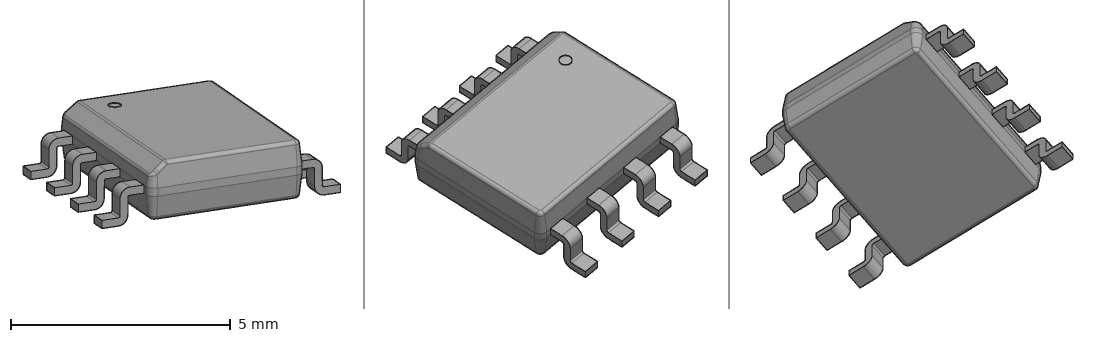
import cadquery as cq
import math

BODY_LENGTH = 4.9
BODY_WIDTH = 3.9
BODY_BOTTOM = 0.1
BODY_TOP = 1.5
CORNER_RADIUS = 0.2
DRAFT_ANGLE = 7.0
EDGE_RADIUS = 0.1

SLOPE_INSET = 0.425
SLOPE_DEPTH = 0.305

MARK_DIAMETER = 0.3
MARK_DEPTH = 0.02
MARK_X = -1.685
MARK_Y = -0.895

LEADS_PER_SIDE = 4
LEAD_PITCH = 1.27
LEAD_WIDTH = 0.425
LEAD_THICKNESS = 0.2
LEAD_TIP_Y = 3.0
LEAD_SHIN_Y = 2.545
LEAD_INNER_RADIUS = 0.05
LEAD_OUTER_RADIUS = LEAD_INNER_RADIUS + LEAD_THICKNESS
LEAD_EMBED = 0.3

BAND_BOTTOM = (BODY_BOTTOM + BODY_TOP - LEAD_THICKNESS) / 2
BAND_TOP = BAND_BOTTOM + LEAD_THICKNESS


def body_section(z):
    """Rounded rectangle of the widest body outline, at height z."""
    outline = cq.Sketch().rect(BODY_LENGTH, BODY_WIDTH).vertices().fillet(CORNER_RADIUS)
    return cq.Workplane("XY").workplane(offset=z).placeSketch(outline)


def make_body():
    """Straight middle band with drafted halves above and below, and a sloped -Y top edge."""
    band = body_section(BAND_BOTTOM).extrude(LEAD_THICKNESS)
    upper = body_section(BAND_TOP).extrude(BODY_TOP - BAND_TOP, taper=DRAFT_ANGLE)
    lower = body_section(BAND_BOTTOM).extrude(BODY_BOTTOM - BAND_BOTTOM, taper=DRAFT_ANGLE)

    wall_y = -BODY_WIDTH / 2
    slope_bottom = BODY_TOP - SLOPE_DEPTH
    slope_bottom_y = wall_y + (slope_bottom - BAND_TOP) * math.tan(math.radians(DRAFT_ANGLE))
    slope_top_y = wall_y + SLOPE_INSET
    run = slope_top_y - slope_bottom_y
    wedge = (
        cq.Workplane("YZ")
        .moveTo(slope_bottom_y - run, slope_bottom - SLOPE_DEPTH)
        .lineTo(slope_top_y + run, BODY_TOP + SLOPE_DEPTH)
        .lineTo(slope_bottom_y - run, BODY_TOP + SLOPE_DEPTH)
        .close()
        .extrude(BODY_LENGTH, both=True)
    )
    upper = upper.cut(wedge)

    slope_center = (0, (slope_bottom_y + slope_top_y) / 2, (slope_bottom + BODY_TOP) / 2)
    top_rim = upper.faces(">Z").edges().vals()
    slope_rim = upper.faces(cq.selectors.NearestToPointSelector(slope_center)).edges().vals()
    upper = upper.newObject(top_rim + slope_rim).fillet(EDGE_RADIUS)
    lower = lower.faces("<Z").edges().fillet(EDGE_RADIUS)
    return band.union(upper).union(lower)


def make_lead():
    """One gull-wing lead on the +Y side, centred on X = 0, with its foot on Z = 0."""
    root_y = BODY_WIDTH / 2 - LEAD_EMBED
    shin_inside_y = LEAD_SHIN_Y - LEAD_THICKNESS
    upper_bend_y = LEAD_SHIN_Y - LEAD_OUTER_RADIUS
    upper_bend_z = BAND_TOP - LEAD_OUTER_RADIUS
    foot_bend_y = LEAD_SHIN_Y + LEAD_INNER_RADIUS
    foot_bend_z = LEAD_OUTER_RADIUS
    return (
        cq.Workplane("YZ")
        .moveTo(root_y, BAND_TOP)
        .lineTo(upper_bend_y, BAND_TOP)
        .tangentArcPoint((LEAD_SHIN_Y, upper_bend_z), relative=False)
        .lineTo(LEAD_SHIN_Y, foot_bend_z)
        .tangentArcPoint((foot_bend_y, LEAD_THICKNESS), relative=False)
        .lineTo(LEAD_TIP_Y, LEAD_THICKNESS)
        .lineTo(LEAD_TIP_Y, 0)
        .lineTo(foot_bend_y, 0)
        .tangentArcPoint((shin_inside_y, foot_bend_z), relative=False)
        .lineTo(shin_inside_y, upper_bend_z)
        .tangentArcPoint((upper_bend_y, BAND_BOTTOM), relative=False)
        .lineTo(root_y, BAND_BOTTOM)
        .close()
        .extrude(LEAD_WIDTH / 2, both=True)
    )


def add_leads(body):
    """Join a row of leads to the +Y side and its mirror image to the -Y side."""
    lead = make_lead()
    for index in range(LEADS_PER_SIDE):
        x = (index - (LEADS_PER_SIDE - 1) / 2) * LEAD_PITCH
        placed = lead.translate((x, 0, 0))
        body = body.union(placed).union(placed.mirror("XZ"))
    return body


def cut_mark(body):
    """Sink the round pin-one mark into the top face."""
    mark = (
        cq.Workplane("XY")
        .workplane(offset=BODY_TOP - MARK_DEPTH)
        .center(MARK_X, MARK_Y)
        .circle(MARK_DIAMETER / 2)
        .extrude(MARK_DEPTH)
    )
    return body.cut(mark)


result = cut_mark(add_leads(make_body()))